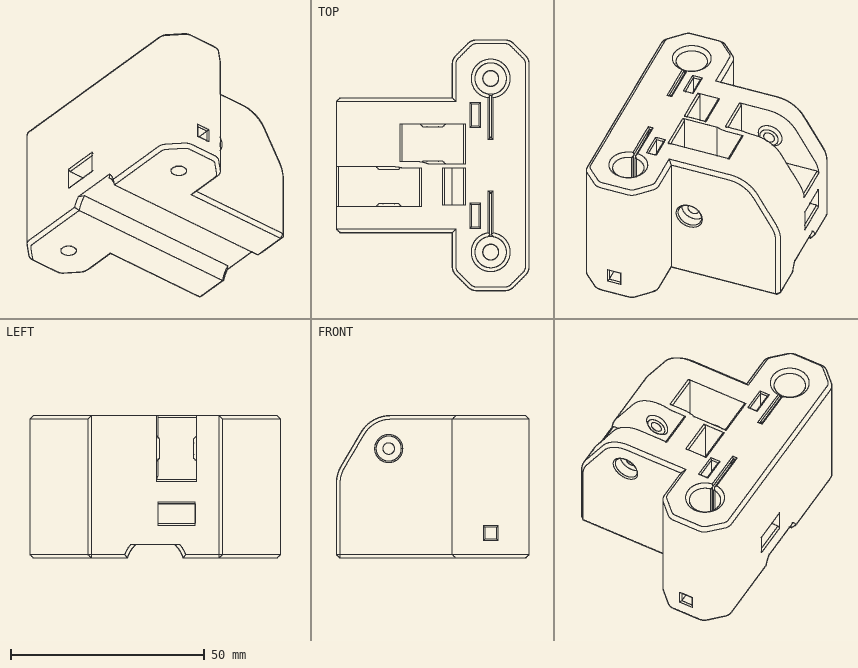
import cadquery as cq
import math

LENGTH = 50.0
HEIGHT = 37.0
FLANGE_WIDTH = 65.0
FLANGE_X = 30.0
BODY_WIDTH = 35.0

EDGE = 1.0
LIP = 0.5
FINE_LIP = 0.4

CORNER_CUT = 5.0
CORNER_ROUND = 3.0

SLOPE_TOP_X = 9.0
SLOPE_LOW_Z = 21.8
NOSE_ROUND = 9.0

SCREW_X = (FLANGE_X + LENGTH) / 2
SCREW_Y = 22.5
SCREW_HOLE = 4.0
SCREW_BORE = 8.1
SCREW_SEAT_Z = 3.0

SLOT_PIN = (13.6, 28.4)
POCKET_PIN = (25.0, 20.0)
PIN_HOLE = 3.0
PIN_DEPTH = 20.15
PIN_BORE = 6.5
PIN_BORE_DEPTH = 3.0
BOSS_TIP = 5.1
BOSS_HEIGHT = 0.8

SWING_RADIUS = 8.0
CAVITY_WALL_Y = 10.7
SLOT_WALL_Y = (-0.3, -0.7)
POCKET_WALL_Y = (1.0, 0.3)
SLOT_STEP_X = 14.2
POCKET_STEP_X = 20.8
STEP_LENGTH = 3.2
POCKET_END_X = 33.0

CHANNEL_Y = (-10.35, -0.7)
CHANNEL_Z = (9.05, 14.1)
SHAFT_X = 28.0
RAMP_TOP_X = FLANGE_X
RAMP_DROP = 1.1

TIE_X = 36.0
TIE_Y = 13.05
TIE_WIDTH = 1.95
TIE_LENGTH = 5.7
TIE_DEPTH = 10.0

GROOVE_WIDTH = 0.5
GROOVE_START_Y = 7.0
GROOVE_DEPTH = 14.25
WIRE_HOLE = 3.05
WIRE_Z = 6.5

TUBE_RADIUS = 7.5
TUBE_Z = -2.0
TUBE_TOP_Z = 3.5


def prism_along_y(points, y_range):
    """Prism over an outline of (x, z) points."""
    y_low, y_high = y_range
    prism = cq.Workplane("XZ").polyline(points).close().extrude(y_low - y_high)
    return prism.translate((0, y_low, 0))


def round_hole(diameter, depth, flare=0.0):
    """Cutter below z = 0 for a round hole whose rim is chamfered by flare."""
    radius = diameter / 2
    hole = cq.Workplane("XY").circle(radius).extrude(-depth)
    if flare:
        hole = hole.union(cq.Workplane("XY").circle(radius + flare).extrude(-flare, taper=45))
    return hole


def square_hole(width, length, depth, flare):
    """Cutter below z = 0 for a rectangular hole whose rim is chamfered by flare."""
    rim = cq.Workplane("XY").rect(width + 2 * flare, length + 2 * flare).extrude(-flare, taper=45)
    return cq.Workplane("XY").rect(width, length).extrude(-depth).union(rim)


def facing_y(shape, origin, direction):
    """Move a shape so that its +z axis points along +Y or -Y, as direction is 1 or -1."""
    plane = cq.Plane(origin, xDir=(1, 0, 0), normal=(0, direction, 0))
    return cq.Workplane(shape.val().moved(plane.location))


def make_flange():
    return (
        cq.Workplane("XY")
        .rect(LENGTH - FLANGE_X, FLANGE_WIDTH)
        .extrude(HEIGHT)
        .edges("|Z")
        .chamfer(CORNER_CUT)
        .edges("|Z")
        .fillet(CORNER_ROUND)
        .faces("<Z or >Z")
        .chamfer(EDGE)
        .translate((SCREW_X, 0, 0))
    )


def make_body():
    """Block with the sloped nose; its plain end is buried in the flange."""
    profile = [(0, 0), (SCREW_X, 0), (SCREW_X, HEIGHT), (SLOPE_TOP_X, HEIGHT), (0, SLOPE_LOW_Z)]
    slope_center = (SLOPE_TOP_X / 2, 0, (SLOPE_LOW_Z + HEIGHT) / 2)
    slope_face = cq.selectors.NearestToPointSelector(slope_center)
    return (
        cq.Workplane("XZ")
        .polyline(profile)
        .close()
        .extrude(BODY_WIDTH / 2, both=True)
        .faces(slope_face)
        .edges("|Y")
        .fillet(NOSE_ROUND)
        .faces("<Z or <Y or >Y")
        .chamfer(EDGE)
    )


def cavity_plan(start_x, end_x, outer_y, wall_y, step_x):
    """Full-height cavity whose partition wall curves from wall_y[0] to wall_y[1] after step_x."""
    return (
        cq.Workplane("XY")
        .moveTo(start_x, outer_y)
        .lineTo(start_x, wall_y[0])
        .lineTo(step_x, wall_y[0])
        .tangentArcPoint((step_x + STEP_LENGTH, wall_y[1]), relative=False)
        .lineTo(end_x, wall_y[1])
        .lineTo(end_x, outer_y)
        .close()
        .extrude(HEIGHT)
    )


def cavity_side(pin, open_x, open_points):
    """Side shape of a cavity: round below the pin on one side, flat up to open_x on the other."""
    pin_x, pin_z = pin
    toward_wall = math.copysign(1, pin_x - open_x)
    wall_x = pin_x + toward_wall * SWING_RADIUS
    outline = (
        cq.Workplane("XZ")
        .moveTo(wall_x + toward_wall * LIP, HEIGHT)
        .lineTo(wall_x, HEIGHT - LIP)
        .lineTo(wall_x, pin_z)
        .radiusArc((pin_x, pin_z - SWING_RADIUS), toward_wall * SWING_RADIUS)
    )
    for point in open_points:
        outline = outline.lineTo(*point)
    return outline.close().extrude(FLANGE_WIDTH / 2, both=True)


def make_slot():
    floor_z = SLOT_PIN[1] - SWING_RADIUS
    end_x = SLOT_PIN[0] + SWING_RADIUS + LIP
    plan = cavity_plan(0, end_x, -CAVITY_WALL_Y, SLOT_WALL_Y, SLOT_STEP_X)
    open_points = [(LIP, floor_z), (0, floor_z - LIP), (0, HEIGHT)]
    return plan.intersect(cavity_side(SLOT_PIN, 0, open_points))


def make_pocket():
    floor_z = POCKET_PIN[1] - SWING_RADIUS
    start_x = POCKET_PIN[0] - SWING_RADIUS - LIP
    end_x = POCKET_END_X + LIP
    plan = cavity_plan(start_x, end_x, CAVITY_WALL_Y, POCKET_WALL_Y, POCKET_STEP_X)
    open_points = [(POCKET_END_X, floor_z), (POCKET_END_X, HEIGHT - LIP), (end_x, HEIGHT)]
    return plan.intersect(cavity_side(POCKET_PIN, POCKET_END_X, open_points))


def make_boss(pin, base_y, direction):
    cone = cq.Workplane("XY").circle(BOSS_TIP / 2 + BOSS_HEIGHT).extrude(BOSS_HEIGHT, taper=45)
    return facing_y(cone, (pin[0], base_y, pin[1]), direction)


def make_pin_hole(pin, side):
    cutter = round_hole(PIN_BORE, PIN_BORE_DEPTH, FINE_LIP).union(round_hole(PIN_HOLE, PIN_DEPTH))
    return facing_y(cutter, (pin[0], side * BODY_WIDTH / 2, pin[1]), side)


def make_channel():
    low, high = CHANNEL_Z
    outline = [
        (0, low - LIP),
        (LIP, low),
        (LENGTH - LIP, low),
        (LENGTH, low - LIP),
        (LENGTH, high + LIP),
        (LENGTH - LIP, high),
        (LIP, high),
        (0, high + LIP),
    ]
    return prism_along_y(outline, CHANNEL_Y)


def make_shaft():
    """Shaft from the top down to the channel floor, ending in a short ramp."""
    floor_z = CHANNEL_Z[0]
    outline = [
        (SHAFT_X, floor_z - RAMP_DROP),
        (RAMP_TOP_X, floor_z),
        (POCKET_END_X, floor_z),
        (POCKET_END_X, HEIGHT - LIP),
        (POCKET_END_X + LIP, HEIGHT),
        (SHAFT_X - LIP, HEIGHT),
        (SHAFT_X, HEIGHT - LIP),
    ]
    return prism_along_y(outline, CHANNEL_Y)


def make_groove():
    """Narrow groove on the +Y side that ramps down from the top into the screw bore."""
    bore_y = SCREW_Y - SCREW_BORE / 2
    low_z = HEIGHT - GROOVE_DEPTH
    ramp = [(GROOVE_START_Y, HEIGHT), (bore_y, low_z), (SCREW_Y, low_z), (SCREW_Y, HEIGHT)]
    slit = cq.Workplane("YZ").polyline(ramp).close().extrude(GROOVE_WIDTH / 2, both=True)
    rim_length = SCREW_Y - GROOVE_START_Y
    rim = square_hole(GROOVE_WIDTH, rim_length, FINE_LIP, FINE_LIP)
    rim = rim.translate((0, GROOVE_START_Y + rim_length / 2, HEIGHT))
    half_slit = GROOVE_WIDTH / 2
    half_mouth = half_slit + FINE_LIP
    mouth = (
        cq.Workplane("XY", origin=(0, bore_y, low_z))
        .polyline([(-half_slit, -FINE_LIP), (-half_mouth, 0), (half_mouth, 0), (half_slit, -FINE_LIP)])
        .close()
        .extrude(GROOVE_DEPTH)
    )
    return slit.union(rim).union(mouth).translate((SCREW_X, 0, 0))


def make_flange_cutters():
    """All openings of the +Y half of the flange."""
    wire_depth = FLANGE_WIDTH / 2 - SCREW_Y
    wire_hole = square_hole(WIRE_HOLE, WIRE_HOLE, wire_depth, FINE_LIP)
    return [
        round_hole(SCREW_BORE, HEIGHT - SCREW_SEAT_Z, EDGE).translate((SCREW_X, SCREW_Y, HEIGHT)),
        round_hole(SCREW_HOLE, HEIGHT).translate((SCREW_X, SCREW_Y, HEIGHT)),
        square_hole(TIE_WIDTH, TIE_LENGTH, TIE_DEPTH, FINE_LIP).translate((TIE_X, TIE_Y, HEIGHT)),
        facing_y(wire_hole, (SCREW_X, FLANGE_WIDTH / 2, WIRE_Z), 1),
        make_groove(),
    ]


def make_tube_channel():
    """Round channel along X, flared at both ends and cut off flat at its top."""
    flared_radius = TUBE_RADIUS + EDGE
    half_outline = [
        (0, 0),
        (0, flared_radius),
        (EDGE, TUBE_RADIUS),
        (LENGTH - EDGE, TUBE_RADIUS),
        (LENGTH, flared_radius),
        (LENGTH, 0),
    ]
    tube = cq.Workplane("XZ").polyline(half_outline).close().revolve(360, (0, 0), (1, 0))
    below_flat = (
        cq.Workplane("XY", origin=(LENGTH / 2, 0, TUBE_TOP_Z))
        .rect(LENGTH, FLANGE_WIDTH)
        .extrude(-HEIGHT)
    )
    return tube.translate((0, 0, TUBE_Z)).intersect(below_flat)


result = make_flange().union(make_body())
result = result.cut(make_slot()).cut(make_pocket())

bosses = [
    (SLOT_PIN, -CAVITY_WALL_Y, 1),
    (SLOT_PIN, SLOT_WALL_Y[0], -1),
    (POCKET_PIN, CAVITY_WALL_Y, -1),
    (POCKET_PIN, POCKET_WALL_Y[1], 1),
]
for boss_pin, boss_base_y, boss_direction in bosses:
    result = result.union(make_boss(boss_pin, boss_base_y, boss_direction))

result = result.cut(make_pin_hole(SLOT_PIN, -1)).cut(make_pin_hole(POCKET_PIN, 1))
result = result.cut(make_channel()).cut(make_shaft())

for cutter in make_flange_cutters():
    result = result.cut(cutter).cut(cutter.mirror("XZ"))

result = result.cut(make_tube_channel())